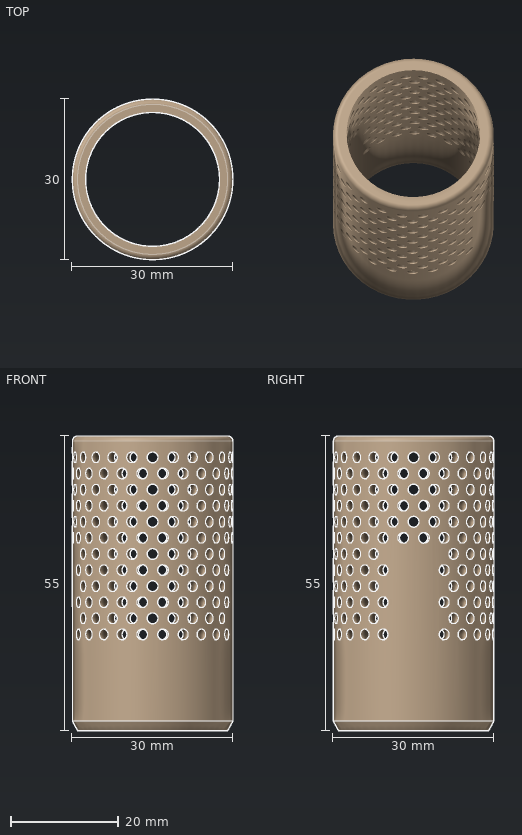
import cadquery as cq

height = 55.0
outer_diameter = 30.0
bore_diameter = 24.9
top_edge_radius = 1.0

bevel_height = 1.8
bevel_depth = 1.0

hole_diameter = 2.0
pin_overrun = 0.55
row_count = 12
holes_per_row = 24
top_row_inset = 4.0
row_span = 33.0
top_row_height = height - top_row_inset
row_pitch = row_span / (row_count - 1)
hole_angle_step = 360.0 / holes_per_row

full_row_count = 6
patch_half_angle = 20.0

outer_radius = outer_diameter / 2
bore_radius = bore_diameter / 2


def make_sleeve():
    """Tube with a rounded top outer edge and a bevelled lower end."""
    profile = (
        cq.Workplane("XZ")
        .moveTo(bore_radius, 0)
        .lineTo(outer_radius - bevel_depth, 0)
        .lineTo(outer_radius, bevel_height)
        .lineTo(outer_radius, height)
        .lineTo(bore_radius, height)
        .close()
    )
    sleeve = profile.revolve(360, (0, 0, 0), (0, 1, 0))
    outer_top_edge = cq.selectors.RadiusNthSelector(-1)
    return sleeve.faces(">Z").edges(outer_top_edge).fillet(top_edge_radius)


def in_plain_patch(angle):
    """True when a direction lies close to the X axis, on either side."""
    angle_from_x = abs((angle + 90.0) % 180.0 - 90.0)
    return angle_from_x < patch_half_angle


def make_row(row):
    """All the hole cutters of one row, counted down from the top."""
    row_height = top_row_height - row * row_pitch
    stagger = hole_angle_step / 2 if row % 2 else 0.0
    angles = [stagger + i * hole_angle_step for i in range(holes_per_row)]
    if row >= full_row_count:
        angles = [angle for angle in angles if not in_plain_patch(angle)]
    pin = cq.Solid.makeCylinder(
        hole_diameter / 2,
        outer_radius - bore_radius + 2 * pin_overrun,
        cq.Vector(bore_radius - pin_overrun, 0, row_height),
        cq.Vector(1, 0, 0),
    )
    return [pin.rotate(cq.Vector(0, 0, 0), cq.Vector(0, 0, 1), angle) for angle in angles]


hole_pins = [pin for row in range(row_count) for pin in make_row(row)]
result = make_sleeve().cut(cq.Compound.makeCompound(hole_pins))